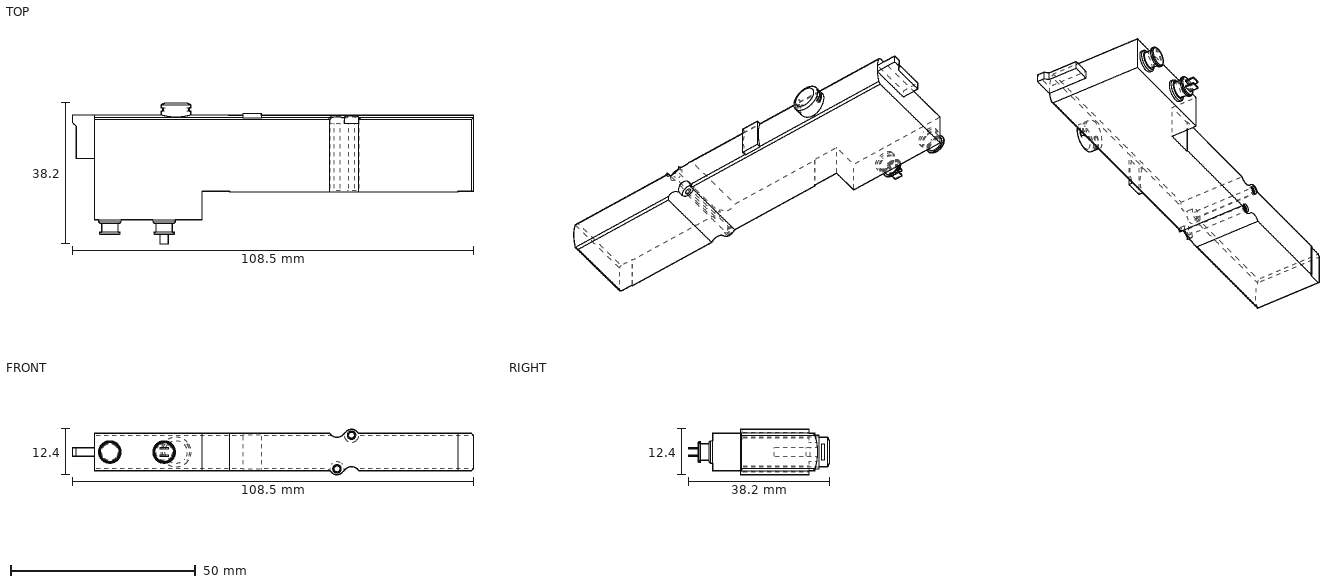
import cadquery as cq
import math


OVERALL_LENGTH = 108.5
OVERALL_DEPTH = 38.19
OVERALL_THICKNESS = 12.4
TAB_REACH = 5.9
BODY_LENGTH = OVERALL_LENGTH - TAB_REACH
BODY_THICKNESS = 10.2
HALF_BODY = BODY_THICKNESS / 2
CROWN_TOP_Y = 28.4
CROWN_RISE = 0.7
CHAMFER = 0.6
HEAD_LENGTH = 29.2
SHANK_Y = 7.75
PAD_START_X = 36.6
PAD_END_X = 98.4
PAD_Y = 7.5

SLEEVE_RADIUS = 1.9
SLEEVE_X = 69.6
SLEEVE_Z = OVERALL_THICKNESS / 2 - SLEEVE_RADIUS
GROOVE_RADIUS = 2.3
GROOVE_DEPTH = 1.1
GROOVE_Z = HALF_BODY + GROOVE_RADIUS - GROOVE_DEPTH
GROOVE_X = SLEEVE_X + (GROOVE_Z - SLEEVE_Z) - (SLEEVE_RADIUS + GROOVE_RADIUS) * math.sqrt(2)
FLANK_DROP = 3.0
SCREW_Z = 4.55
SCREW_HOLE_DIA = 1.6
SCREW_SEAT_DIA = 2.3
SCREW_SEAT_DEPTH = 0.5
SCREW_HEAD_DIA = 3.9
SCREW_HEAD_Y = 26.1
CUT_MARGIN = 1.0

TAB_THICKNESS = 2.4
TAB_BOTTOM_Y = 16.6
TAB_STEP = 1.0
TAB_TIP_Y = 26.3

CONNECTOR_XS = (4.2, 18.9)
COLLAR_DIA, COLLAR_END = 6.1, 1.0
COLLAR_CHAMFER = 0.4
STEM_DIA, STEM_END = 4.5, 3.3
CAP_DIA, CAP_END = 5.6, 4.0
CAP_CHAMFER = 0.25
PIN_WIDTH = 2.3
PIN_THICKNESS = 0.4
PIN_END = 6.55
PIN_SPACING = 2.0

KNOB_X = 22.1
KNOB_DIA = 8.1
KNOB_FACE_DIA = 6.1
KNOB_BEVEL_HEIGHT = 0.5
KNOB_TOP_Y = OVERALL_DEPTH - PIN_END
GRIP_START_Y, GRIP_END_Y = 29.4, 30.3
GRIP_WIDTH = 4.3
GRIP_DEPTH = 0.4
LUG_START_X, LUG_END_X = 40.2, 45.2
LUG_WIDTH = 9.2
LUG_TOP_Y = 28.8
ROOT_DEPTH = 2.0
KNOB_ROOT_Y = CROWN_TOP_Y - ROOT_DEPTH


def box(x0, x1, y0, y1, z0, z1):
    """Axis-aligned box between two corners."""
    return cq.Workplane("XY").box(x1 - x0, y1 - y0, z1 - z0, centered=False).translate((x0, y0, z0))


def cylinder(x, z, diameter, y0, y1):
    """Cylinder along Y between y0 and y1."""
    return cq.Workplane("XZ", origin=(x, y0, z)).circle(diameter / 2).extrude(y0 - y1)


def both_sides(shape):
    """The shape and its copy turned half a turn about the sleeve pair's mid line."""
    middle_x = (SLEEVE_X + GROOVE_X) / 2
    return shape, shape.rotate((middle_x, 0, 0), (middle_x, 1, 0), 180)


def body():
    """Crowned bar, with the corner cut away beside the head and a pad below the shank."""
    shoulder_y = CROWN_TOP_Y - CROWN_RISE
    shoulder_z = HALF_BODY - CHAMFER
    bar = (
        cq.Workplane("YZ")
        .moveTo(0, -HALF_BODY)
        .lineTo(shoulder_y - CHAMFER, -HALF_BODY)
        .lineTo(shoulder_y, -shoulder_z)
        .threePointArc((CROWN_TOP_Y, 0), (shoulder_y, shoulder_z))
        .lineTo(shoulder_y - CHAMFER, HALF_BODY)
        .lineTo(0, HALF_BODY)
        .close()
        .extrude(BODY_LENGTH)
    )
    plan = (
        cq.Workplane("XY", origin=(0, 0, -HALF_BODY))
        .polyline([
            (0, 0), (HEAD_LENGTH, 0), (HEAD_LENGTH, SHANK_Y),
            (PAD_START_X, SHANK_Y), (PAD_START_X, PAD_Y), (PAD_END_X, PAD_Y),
            (PAD_END_X, SHANK_Y), (BODY_LENGTH, SHANK_Y),
            (BODY_LENGTH, CROWN_TOP_Y), (0, CROWN_TOP_Y),
        ])
        .close()
        .extrude(BODY_THICKNESS)
    )
    side = (
        cq.Workplane("XZ")
        .rect(BODY_LENGTH, BODY_THICKNESS)
        .extrude(-CROWN_TOP_Y)
        .translate((BODY_LENGTH / 2, 0, 0))
        .edges("|Y and >X")
        .chamfer(CHAMFER)
    )
    return bar.intersect(plan).intersect(side)


def rounded_wedge(x, z, radius, upward, y0, y1):
    """Wedge along Y: a round nose about (x, z) with tangent 45 degree flanks.

    The nose points to +Z when upward is 1 and to -Z when it is -1.
    """
    tangent = radius * math.sqrt(0.5)
    return (
        cq.Workplane("XZ", origin=(x, y0, z))
        .moveTo(-tangent, upward * tangent)
        .threePointArc((0, upward * radius), (tangent, upward * tangent))
        .line(FLANK_DROP, -upward * FLANK_DROP)
        .lineTo(-tangent - FLANK_DROP, upward * (tangent - FLANK_DROP))
        .close()
        .extrude(y0 - y1)
    )


def add_sleeves(part):
    """Groove, ridge and stepped screw hole on each face."""
    beyond_crown = CROWN_TOP_Y + CUT_MARGIN
    ridge_end = CROWN_TOP_Y - CROWN_RISE
    flanked_groove = rounded_wedge(GROOVE_X, GROOVE_Z, GROOVE_RADIUS, -1, 0, beyond_crown)
    sleeve_side = box(GROOVE_X, SLEEVE_X, 0, beyond_crown, 0, OVERALL_THICKNESS)
    groove = cylinder(GROOVE_X, GROOVE_Z, 2 * GROOVE_RADIUS, 0, beyond_crown)
    groove = groove.union(flanked_groove.intersect(sleeve_side))
    ridge = rounded_wedge(SLEEVE_X, SLEEVE_Z, SLEEVE_RADIUS, 1, PAD_Y, ridge_end)
    screw_space = (
        cylinder(SLEEVE_X, SCREW_Z, SCREW_HOLE_DIA, 0, beyond_crown)
        .union(cylinder(SLEEVE_X, SCREW_Z, SCREW_SEAT_DIA, 0, PAD_Y + SCREW_SEAT_DEPTH))
        .union(cylinder(SLEEVE_X, SCREW_Z, SCREW_HEAD_DIA, SCREW_HEAD_Y, beyond_crown))
    )
    for groove_copy in both_sides(groove):
        part = part.cut(groove_copy)
    for ridge_copy in both_sides(ridge):
        part = part.union(ridge_copy)
    for screw_copy in both_sides(screw_space):
        part = part.cut(screw_copy)
    return part


def label_tab():
    """Flat tab with an overhanging tip."""
    inner_x = -TAB_REACH + TAB_STEP
    return (
        cq.Workplane("XY", origin=(0, 0, -TAB_THICKNESS / 2))
        .polyline([
            (0, TAB_BOTTOM_Y), (inner_x, TAB_BOTTOM_Y), (inner_x, TAB_TIP_Y - TAB_STEP),
            (-TAB_REACH, TAB_TIP_Y), (-TAB_REACH, CROWN_TOP_Y), (0, CROWN_TOP_Y),
        ])
        .close()
        .extrude(TAB_THICKNESS)
    )


def connector(x):
    """Stepped round connector standing out from the Y = 0 face."""
    collar = cylinder(x, 0, COLLAR_DIA, -COLLAR_END, 0).faces("<Y").edges().chamfer(COLLAR_CHAMFER)
    stem = cylinder(x, 0, STEM_DIA, -STEM_END, 0)
    cap = cylinder(x, 0, CAP_DIA, -CAP_END, -STEM_END).faces("<Y").edges().chamfer(CAP_CHAMFER)
    return collar.union(stem).union(cap)


def contact_pin(x, z):
    """Flat contact blade on the end of a connector."""
    half_width = PIN_WIDTH / 2
    half_thickness = PIN_THICKNESS / 2
    return box(x - half_width, x + half_width, -PIN_END, -CAP_END, z - half_thickness, z + half_thickness)


def knob():
    """Round knob with a bevelled rim and a grip pocket on each X side."""
    radius = KNOB_DIA / 2
    turned = (
        cq.Workplane("XY")
        .polyline([
            (0, KNOB_ROOT_Y), (radius, KNOB_ROOT_Y), (radius, KNOB_TOP_Y - KNOB_BEVEL_HEIGHT),
            (KNOB_FACE_DIA / 2, KNOB_TOP_Y), (0, KNOB_TOP_Y),
        ])
        .close()
        .revolve(360, (0, 0), (0, 1))
    )
    grip_space = box(-radius, radius, GRIP_START_Y, GRIP_END_Y, -GRIP_WIDTH / 2, GRIP_WIDTH / 2)
    core = cylinder(0, 0, KNOB_DIA - 2 * GRIP_DEPTH, KNOB_ROOT_Y, KNOB_TOP_Y)
    return turned.cut(grip_space.cut(core)).translate((KNOB_X, 0, 0))


def lug():
    """Small block standing above the crowned edge."""
    half_width = LUG_WIDTH / 2
    return box(LUG_START_X, LUG_END_X, KNOB_ROOT_Y, LUG_TOP_Y, -half_width, half_width)


result = add_sleeves(body())
result = result.union(label_tab())
for connector_x in CONNECTOR_XS:
    result = result.union(connector(connector_x))
for pin_side in (-1, 1):
    result = result.union(contact_pin(CONNECTOR_XS[-1], pin_side * PIN_SPACING / 2))
result = result.union(knob()).union(lug())